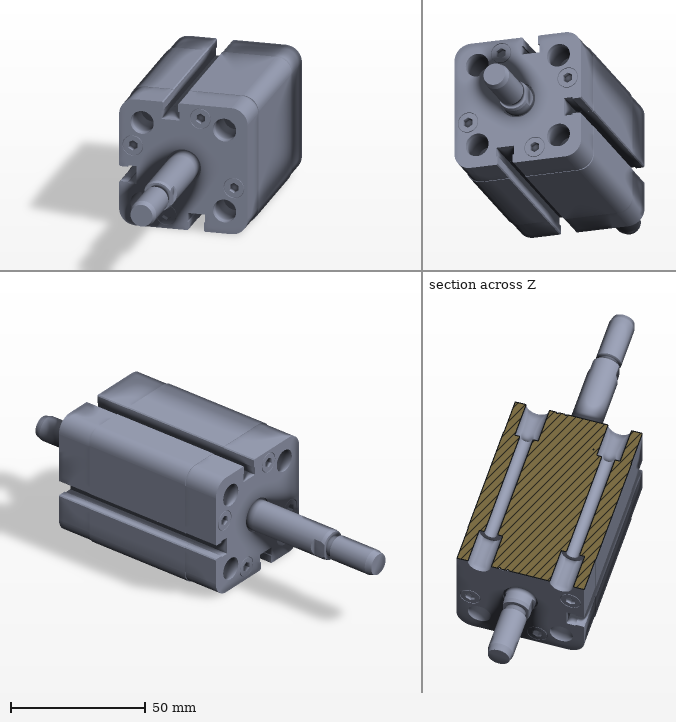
import cadquery as cq
import math

overall_length = 160.5
body_width = 50.0
cap_length = 14.6
tube_length = 45.7
rear_rod_length = 27.8
cap_corner_radius = 6.3
cap_setback = 0.2
tube_corner_radius = 6.0

body_length = tube_length + 2 * cap_length
half_width = body_width / 2
cap_width = body_width - 2 * cap_setback
rear_face_y = overall_length / 2 - rear_rod_length
front_face_y = rear_face_y - body_length

slot_offset = 5.0
slot_mouth_width = 5.8
slot_channel_width = 6.9
slot_lip_depth = 3.5
slot_depth = 6.9
slot_chamfer = 0.4
cap_slot_clearance = 0.05
slot_angles = (0, 90, 180)

mount_pitch = 32.0
mount_hole_diameter = 5.0
mount_bore_diameter = 9.0
mount_bore_depth = cap_length

screw_offset = 6.6
screw_distance = 19.6
screw_recess_diameter = 8.0
screw_recess_depth = 0.5
screw_head_diameter = 7.5
screw_socket_flats = 3.5
screw_socket_depth = 2.4
screw_socket_turn = 30

rod_diameter = 12.0
bearing_diameter = 13.6
bearing_depth = 0.8
thread_diameter = 10.0
thread_tip_diameter = 8.5
thread_tip_length = 2.5
thread_length = 19.7
groove_diameter = 8.0
groove_length = 2.1
groove_taper = 0.5
shoulder_diameter = 11.2
shoulder_taper = 1.5
flats_width = 10.0
flats_length = 4.7
shoulder_distance = thread_length + groove_length


def block(width, corner_radius, start_y, length):
    """Square prism with rounded corners, growing toward +Y from start_y."""
    return (
        cq.Workplane("XY")
        .box(width, length, width)
        .edges("|Y")
        .fillet(corner_radius)
        .translate((0, start_y + length / 2, 0))
    )


def cylinder(diameter, start_y, length, x=0, z=0):
    """Cylinder along +Y from start_y."""
    solid = cq.Solid.makeCylinder(diameter / 2, length, cq.Vector(x, start_y, z), cq.Vector(0, 1, 0))
    return cq.Workplane(obj=solid)


def slot_cutter(start_y, length, section_width, clearance):
    """Stepped slot with a chamfered mouth in the top side, enlarged by clearance."""
    mouth = slot_mouth_width / 2 + clearance
    channel = slot_channel_width / 2 + clearance
    floor_z = half_width - slot_depth - clearance
    lip_z = half_width - slot_lip_depth
    top_z = section_width / 2
    right_side = [
        (channel, floor_z),
        (channel, lip_z),
        (mouth, lip_z),
        (mouth, top_z - slot_chamfer),
        (mouth + slot_chamfer, top_z),
    ]
    left_side = [(-x, z) for x, z in reversed(right_side)]
    return (
        cq.Workplane("XZ", origin=(-slot_offset, start_y, 0))
        .polyline(right_side + left_side)
        .close()
        .extrude(-length)
    )


def slotted(section, start_y, length, section_width, clearance=0.0):
    """Body section with its slots cut along the full length."""
    cutter = slot_cutter(start_y, length, section_width, clearance)
    for angle in slot_angles:
        section = section.cut(cutter.rotate((0, 0, 0), (0, 1, 0), -angle))
    return section


def tube():
    """Extruded tube between the end caps."""
    start_y = front_face_y + cap_length
    section = block(body_width, tube_corner_radius, start_y, tube_length)
    return slotted(section, start_y, tube_length, body_width)


def end_cap(start_y):
    """End cap, slightly smaller than the tube all round."""
    section = block(cap_width, cap_corner_radius, start_y, cap_length)
    return slotted(section, start_y, cap_length, cap_width, cap_slot_clearance)


def mount_bore(x, z):
    """Through hole with a counterbore at each end."""
    hole = cylinder(mount_hole_diameter, front_face_y, body_length, x, z)
    front_bore = cylinder(mount_bore_diameter, front_face_y, mount_bore_depth, x, z)
    rear_bore = cylinder(mount_bore_diameter, rear_face_y - mount_bore_depth, mount_bore_depth, x, z)
    return hole.union(front_bore).union(rear_bore)


def screw_cutter(start_y, direction):
    """Ring gap around a cap screw head plus its hexagon socket, cut from a face along direction."""
    plane = cq.Plane(origin=(0, start_y, 0), xDir=(1, 0, 0), normal=(0, direction, 0))
    ring = (
        cq.Workplane(plane)
        .circle(screw_recess_diameter / 2)
        .circle(screw_head_diameter / 2)
        .extrude(screw_recess_depth)
    )
    socket = (
        cq.Workplane(plane)
        .polygon(6, screw_socket_flats / math.cos(math.pi / 6))
        .extrude(screw_socket_depth)
        .rotate((0, 0, 0), (0, 1, 0), screw_socket_turn)
    )
    return ring.union(socket)


def rod():
    """Through rod with identical stepped and threaded ends, turned about Y."""
    front_tip = -overall_length / 2
    rear_tip = overall_length / 2
    end_steps = [
        (0, 0),
        (thread_tip_diameter / 2, 0),
        (thread_diameter / 2, thread_tip_length),
        (thread_diameter / 2, thread_length - groove_taper),
        (groove_diameter / 2, thread_length),
        (groove_diameter / 2, shoulder_distance),
        (shoulder_diameter / 2, shoulder_distance),
        (rod_diameter / 2, shoulder_distance + shoulder_taper),
    ]
    front_points = [(radius, front_tip + distance) for radius, distance in end_steps]
    rear_points = [(radius, rear_tip - distance) for radius, distance in reversed(end_steps)]
    return (
        cq.Workplane("XY")
        .polyline(front_points + rear_points)
        .close()
        .revolve(360, (0, 0, 0), (0, 1, 0))
    )


def flats_cutter(side, tip_direction):
    """Wrench flat on one X side of a rod end, running out into the rod at 45 degrees."""
    tip = overall_length / 2
    flat_x = flats_width / 2
    outer_x = rod_diameter
    flat_start = tip - shoulder_distance
    flat_end = flat_start - flats_length
    return (
        cq.Workplane("XY")
        .polyline(
            [
                (side * flat_x, tip_direction * flat_start),
                (side * flat_x, tip_direction * flat_end),
                (side * outer_x, tip_direction * (flat_end - (outer_x - flat_x))),
                (side * outer_x, tip_direction * flat_start),
            ]
        )
        .close()
        .extrude(rod_diameter, both=True)
    )


body = tube().union(end_cap(front_face_y)).union(end_cap(rear_face_y - cap_length))

for x_side in (-1, 1):
    for z_side in (-1, 1):
        body = body.cut(mount_bore(x_side * mount_pitch / 2, z_side * mount_pitch / 2))

screw_positions = [
    (screw_offset, screw_distance),
    (screw_distance, -screw_offset),
    (-screw_offset, -screw_distance),
    (-screw_distance, screw_offset),
]
for face_y, inward in ((front_face_y, 1), (rear_face_y, -1)):
    for x, z in screw_positions:
        body = body.cut(screw_cutter(face_y, inward).translate((x, 0, z)))

body = body.cut(cylinder(bearing_diameter, front_face_y, bearing_depth))
body = body.cut(cylinder(bearing_diameter, rear_face_y - bearing_depth, bearing_depth))

piston_rod = rod()
for x_side in (-1, 1):
    for end in (-1, 1):
        piston_rod = piston_rod.cut(flats_cutter(x_side, end))

result = body.union(piston_rod)